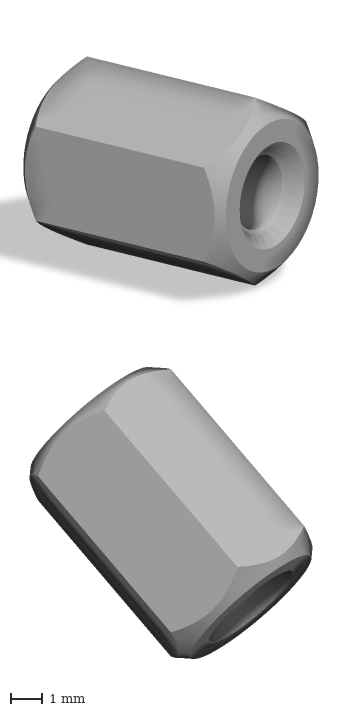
import cadquery as cq
import math

length = 8.0
across_flats = 5.5
end_face_diameter = 5.0
bore_diameter = 2.46
countersink_diameter = 3.5

across_corners = across_flats / math.cos(math.pi / 6)
corner_chamfer = (across_corners - end_face_diameter) / 2
countersink_depth = (countersink_diameter - bore_diameter) / 2


def hex_bar():
    """Hexagonal bar with two corners on the Z axis."""
    return (
        cq.Workplane("YZ")
        .polygon(6, across_corners)
        .extrude(length / 2, both=True)
        .rotate((0, 0, 0), (1, 0, 0), 90)
    )


def chamfered_envelope():
    """Round bar with coned ends that trims the corners of the hexagon."""
    return (
        cq.Workplane("YZ")
        .circle(across_corners / 2)
        .extrude(length / 2, both=True)
        .faces("<X or >X")
        .chamfer(corner_chamfer)
    )


body = hex_bar().intersect(chamfered_envelope())

bored = body.faces(">X").workplane(centerOption="CenterOfBoundBox").hole(bore_diameter)
result = bored.faces("<X or >X").edges("%CIRCLE").edges(
    cq.selectors.RadiusNthSelector(0)
).chamfer(countersink_depth)